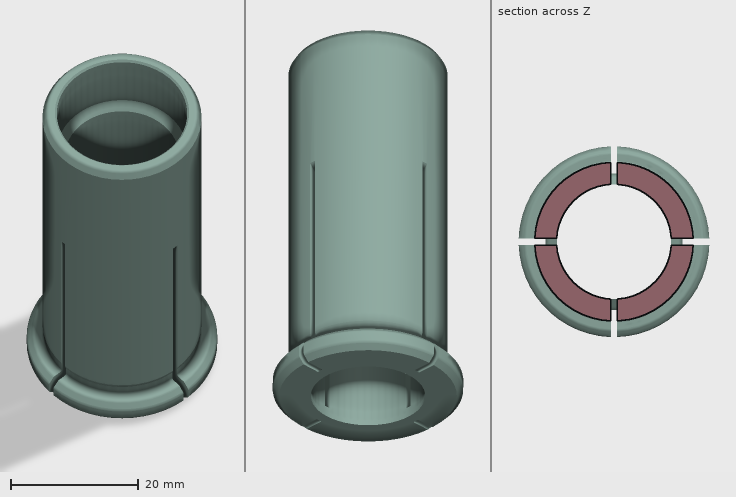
import cadquery as cq

length = 60.0
tube_radius = 25.0 / 2
bore_radius = 18.0 / 2

flange_radius = 15.0
flange_height = 4.0
flange_chamfer = 1.0
flange_round = 0.6

neck_radius = 12.35
neck_top = 5.7
neck_taper_top = 6.3
neck_root_round = 0.35

top_chamfer_width = 0.7
top_chamfer_height = 1.2
top_round = 0.6
counterbore_radius = 20.5 / 2
counterbore_bottom = 50.05
mouth_chamfer = 0.3
seat_depth = counterbore_radius - bore_radius

slot_count = 4
slot_width = 1.0
slot_top = 37.5
slot_floor_height = 1.75
slot_overrun = 1.2


def is_circle_at(edge, radius, height):
    """True for a circular edge of the given radius and height."""
    if edge.geomType() != "CIRCLE":
        return False
    margin = 0.005
    return abs(edge.radius() - radius) < margin and abs(edge.Center().z - height) < margin


def make_body():
    """Turned sleeve with the narrow bore running through it."""
    outline = [
        (bore_radius, 0),
        (flange_radius - flange_chamfer, 0),
        (flange_radius, flange_chamfer),
        (flange_radius, flange_height - flange_chamfer),
        (flange_radius - flange_chamfer, flange_height),
        (neck_radius, flange_height),
        (neck_radius, neck_top),
        (tube_radius, neck_taper_top),
        (tube_radius, length - top_chamfer_height),
        (tube_radius - top_chamfer_width, length),
        (counterbore_radius + mouth_chamfer, length),
        (counterbore_radius, length - mouth_chamfer),
        (counterbore_radius, counterbore_bottom),
        (bore_radius, counterbore_bottom - seat_depth),
    ]
    return cq.Workplane("XZ").polyline(outline).close().revolve(360, (0, 0), (0, 1))


def round_edges(body):
    """Round the flange corners, the flange root and the top rim."""
    rounds = [
        (flange_radius, flange_chamfer, flange_round),
        (flange_radius, flange_height - flange_chamfer, flange_round),
        (flange_radius - flange_chamfer, flange_height, flange_round),
        (neck_radius, flange_height, neck_root_round),
        (tube_radius - top_chamfer_width, length, top_round),
    ]
    for radius, height, size in rounds:
        rim = body.edges().filter(lambda edge: is_circle_at(edge, radius, height))
        body = rim.fillet(size)
    return body


def make_slot():
    """Radial slot cutter on the +X side."""
    inner = bore_radius - slot_overrun
    outer = flange_radius + slot_overrun
    outline = [
        (inner, slot_floor_height + slot_overrun),
        (outer, slot_floor_height - (outer - bore_radius)),
        (outer, slot_top + outer - tube_radius),
        (inner, slot_top - (tube_radius - inner)),
    ]
    return cq.Workplane("XZ").polyline(outline).close().extrude(slot_width / 2, both=True)


result = round_edges(make_body())
for index in range(slot_count):
    angle = index * 360 / slot_count
    result = result.cut(make_slot().rotate((0, 0, 0), (0, 0, 1), angle))